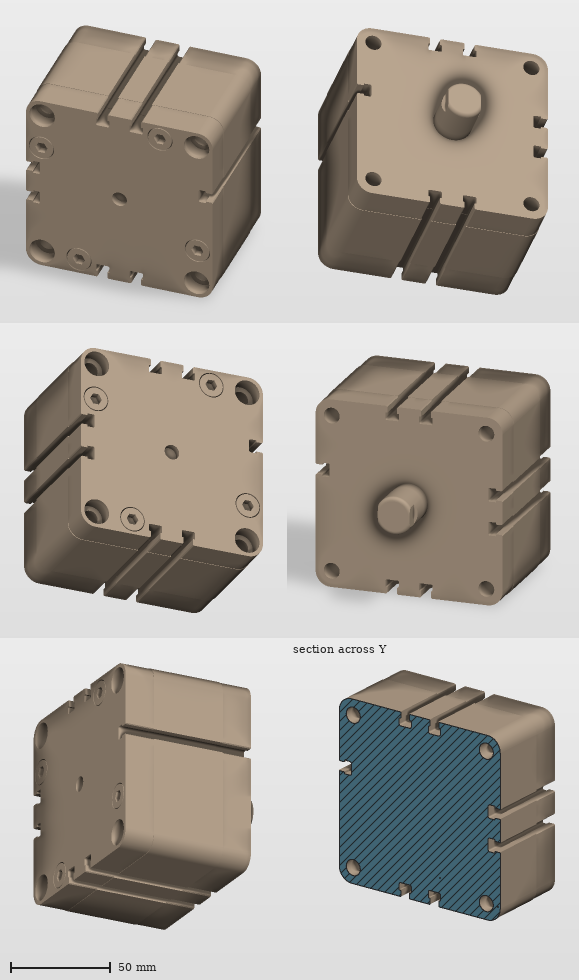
import cadquery as cq

TUBE_SIDE = 100.0
CAP_INSET = 0.2
CAP_SIDE = TUBE_SIDE - 2 * CAP_INSET
CAP_LENGTH = 16.0
TUBE_LENGTH = 39.0
BODY_LENGTH = TUBE_LENGTH + 2 * CAP_LENGTH
CORNER_RADIUS = 8.0

GROOVE_MOUTH = 5.2
GROOVE_WIDTH = 7.2
GROOVE_DEPTH = 7.5
GROOVE_NECK = 3.6
GROOVE_FLOOR_RADIUS = 0.8
GROOVE_LEAD_IN = 0.5
GROOVE_OFFSET = 9.0
LONE_GROOVE_OFFSET = 12.0

ROD_DIAMETER = 20.0
ROD_LENGTH = 23.0
ROD_TIP_RADIUS = 2.0
FLAT_SPACING = 17.0
FLAT_LENGTH = 6.3

MOUNT_OFFSET = 41.2
MOUNT_DIAMETER = 8.4
COUNTERBORE_DIAMETER = 13.5
MOUNT_COUNTERBORE_DEPTH = 8.5

SCREW_FAR_OFFSET = 41.6
SCREW_NEAR_OFFSET = 21.6
SCREW_HEAD_DIAMETER = 12.5
SCREW_HEAD_LENGTH = 8.0
HEX_ACROSS_CORNERS = 6.4
HEX_DEPTH = 4.0

PORT_DIAMETER = 8.0
PORT_DEPTH = 4.0


def section_at(y):
    """Workplane across the part at y: local x is X, local y is Z, positive extrusion goes toward -Y."""
    return cq.Workplane("XZ", origin=(0, y, 0))


def rounded_block(start, length, side):
    """Square block along Y, from y = start, with rounded long edges."""
    block = section_at(start).rect(side, side).extrude(-length)
    return block.edges("|Y").fillet(CORNER_RADIUS)


def groove(offset, angle, start, length, face, lead_in):
    """T-groove cutter shaped below a +Z face at height `face`, then turned about Y by `angle`."""
    slot_height = GROOVE_DEPTH - GROOVE_NECK
    half_mouth = GROOVE_MOUTH / 2
    slot = (
        section_at(start)
        .center(offset, face - GROOVE_DEPTH + slot_height / 2)
        .rect(GROOVE_WIDTH, slot_height)
        .extrude(-length)
        .edges("|Y and <Z")
        .fillet(GROOVE_FLOOR_RADIUS)
    )
    neck = (
        section_at(start)
        .center(offset, face - GROOVE_NECK / 2)
        .rect(GROOVE_MOUTH, GROOVE_NECK)
        .extrude(-length)
    )
    cutter = slot.union(neck)
    if lead_in:
        flare = (
            section_at(start)
            .moveTo(offset - half_mouth - lead_in, face)
            .lineTo(offset + half_mouth + lead_in, face)
            .lineTo(offset + half_mouth, face - lead_in)
            .lineTo(offset - half_mouth, face - lead_in)
            .close()
            .extrude(-length)
        )
        cutter = cutter.union(flare)
    return cutter.rotate((0, 0, 0), (0, 1, 0), angle)


def grooved_block(start, length, side, lead_in):
    """Rounded block with two grooves on the top, bottom and -X faces and one on the +X face."""
    block = rounded_block(start, length, side)
    grooves = [(sign * GROOVE_OFFSET, angle) for angle in (0, 180, -90) for sign in (-1, 1)]
    grooves.append((-LONE_GROOVE_OFFSET, 90))
    for offset, angle in grooves:
        block = block.cut(groove(offset, angle, start, length, side / 2, lead_in))
    return block


def piston_rod():
    """Rod with a rounded tip and two wrench flats that run out at 45 degrees."""
    rod_radius = ROD_DIAMETER / 2
    half_flats = FLAT_SPACING / 2
    tip = BODY_LENGTH + ROD_LENGTH
    flat_end = tip - FLAT_LENGTH
    rod = section_at(BODY_LENGTH).circle(rod_radius).extrude(-ROD_LENGTH)
    rod = rod.faces(">Y").edges().fillet(ROD_TIP_RADIUS)
    flat_cut = (
        cq.Workplane("XY")
        .moveTo(half_flats, tip)
        .lineTo(half_flats, flat_end)
        .lineTo(rod_radius, flat_end - (rod_radius - half_flats))
        .lineTo(rod_radius, tip)
        .close()
        .extrude(rod_radius, both=True)
    )
    return rod.cut(flat_cut).cut(flat_cut.mirror("YZ"))


def corner_cylinders(diameter, length):
    spacing = 2 * MOUNT_OFFSET
    corners = section_at(0).rect(spacing, spacing, forConstruction=True).vertices()
    return corners.circle(diameter / 2).extrude(-length)


def mounting_holes():
    through_holes = corner_cylinders(MOUNT_DIAMETER, BODY_LENGTH)
    return through_holes.union(corner_cylinders(COUNTERBORE_DIAMETER, MOUNT_COUNTERBORE_DEPTH))


def screw_recesses():
    """Ring gaps around the four screw heads, and their hexagon sockets."""
    far, near = SCREW_FAR_OFFSET, SCREW_NEAR_OFFSET
    centers = [(near, far), (far, -near), (-near, -far), (-far, near)]
    rings = (
        section_at(0)
        .pushPoints(centers)
        .circle(COUNTERBORE_DIAMETER / 2)
        .circle(SCREW_HEAD_DIAMETER / 2)
        .extrude(-SCREW_HEAD_LENGTH)
    )
    sockets = section_at(0).pushPoints(centers).polygon(6, HEX_ACROSS_CORNERS).extrude(-HEX_DEPTH)
    return rings.union(sockets)


front_cap = grooved_block(0, CAP_LENGTH, CAP_SIDE, GROOVE_LEAD_IN)
tube = grooved_block(CAP_LENGTH, TUBE_LENGTH, TUBE_SIDE, 0)
rear_cap = grooved_block(CAP_LENGTH + TUBE_LENGTH, CAP_LENGTH, CAP_SIDE, GROOVE_LEAD_IN)
port = section_at(0).circle(PORT_DIAMETER / 2).extrude(-PORT_DEPTH)

result = (
    front_cap.union(tube)
    .union(rear_cap)
    .union(piston_rod())
    .cut(mounting_holes())
    .cut(screw_recesses())
    .cut(port)
)